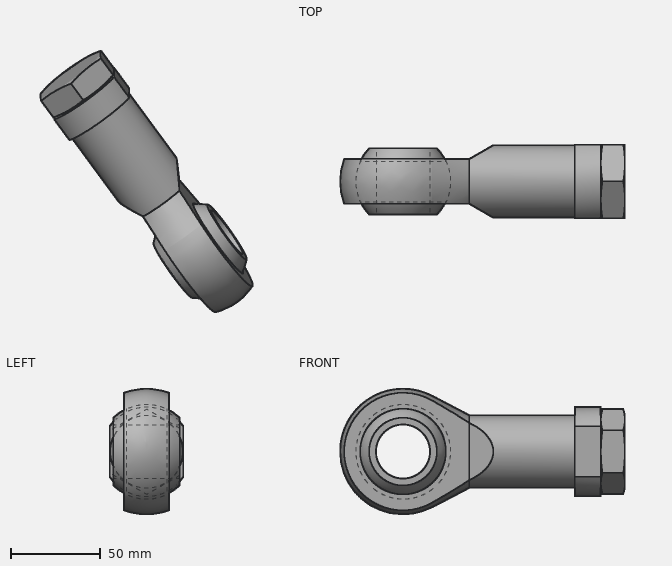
import cadquery as cq
import math

eye_radius = 35.0
eye_thickness = 25.0
overall_length = 158.5
shank_diameter = 40.4
neck_end = 37.0
flat_slope_angle = 30.0

collar_start = 95.5
collar_radius = 24.9
across_flats = 41.0
hex_start = 110.0
hex_chamfer_length = 1.0

ball_diameter = 52.8
ball_width = 37.0
bore_diameter = 30.0
socket_mouth_diameter = 47.7

shank_radius = shank_diameter / 2
hex_chamfer_radius = shank_radius
ball_radius = ball_diameter / 2
shank_end = overall_length - eye_radius
half_thickness = eye_thickness / 2
hex_corner_radius = across_flats / math.sqrt(3)

tangent_angle = math.atan2(shank_radius, neck_end) + math.acos(
    eye_radius / math.hypot(neck_end, shank_radius)
)
tangent_x = eye_radius * math.cos(tangent_angle)
tangent_z = eye_radius * math.sin(tangent_angle)


def turned_blank():
    """Spherical eye, tangent conical neck and cylindrical shank, turned about X."""
    mid_angle = (math.pi + tangent_angle) / 2
    arc_middle = (eye_radius * math.cos(mid_angle), eye_radius * math.sin(mid_angle))
    return (
        cq.Workplane("XZ")
        .moveTo(-eye_radius, 0)
        .threePointArc(arc_middle, (tangent_x, tangent_z))
        .lineTo(neck_end, shank_radius)
        .lineTo(hex_start, shank_radius)
        .lineTo(hex_start, 0)
        .close()
        .revolve(360, (0, 0), (1, 0))
    )


def side_envelope():
    """Prism that flattens the eye and slopes out to the full shank width."""
    slope_run = (shank_radius - half_thickness) / math.tan(math.radians(flat_slope_angle))
    slope_end = neck_end + slope_run
    return (
        cq.Workplane("XY")
        .moveTo(-eye_radius, -half_thickness)
        .lineTo(neck_end, -half_thickness)
        .lineTo(slope_end, -shank_radius)
        .lineTo(shank_end, -shank_radius)
        .lineTo(shank_end, shank_radius)
        .lineTo(slope_end, shank_radius)
        .lineTo(neck_end, half_thickness)
        .lineTo(-eye_radius, half_thickness)
        .close()
        .extrude(eye_radius, both=True)
    )


def flatted_collar():
    """Round collar with two flats facing -Y and +Y."""
    length = hex_start - collar_start
    start_plane = cq.Workplane("YZ").workplane(offset=collar_start)
    disc = start_plane.circle(collar_radius).extrude(length)
    flats = start_plane.rect(across_flats, 2 * collar_radius).extrude(length)
    return disc.intersect(flats)


def hexagon_end():
    """Hexagon with flats facing -Y and +Y, corners chamfered at both ends."""
    prism = (
        cq.Workplane("YZ")
        .workplane(offset=hex_start)
        .polygon(6, 2 * hex_corner_radius)
        .extrude(shank_end - hex_start)
        .rotate((0, 0, 0), (1, 0, 0), 30)
    )
    chamfer_envelope = (
        cq.Workplane("XZ")
        .moveTo(hex_start, 0)
        .lineTo(hex_start, hex_chamfer_radius)
        .lineTo(hex_start + hex_chamfer_length, hex_corner_radius)
        .lineTo(shank_end - hex_chamfer_length, hex_corner_radius)
        .lineTo(shank_end, hex_chamfer_radius)
        .lineTo(shank_end, 0)
        .close()
        .revolve(360, (0, 0), (1, 0))
    )
    return prism.intersect(chamfer_envelope)


def ball_slice(width):
    """Ball cut off square at both sides, turned about Y, with the given width along Y."""
    half_width = width / 2
    face_radius = math.sqrt(ball_radius**2 - half_width**2)
    return (
        cq.Workplane("XY")
        .moveTo(0, -half_width)
        .lineTo(face_radius, -half_width)
        .threePointArc((ball_radius, 0), (face_radius, half_width))
        .lineTo(0, half_width)
        .close()
        .revolve(360, (0, 0), (0, 1))
    )


def ball_socket():
    """Spherical seat with a cylindrical mouth that clears the ball at both eye faces."""
    mouth = cq.Workplane("XZ").circle(socket_mouth_diameter / 2).extrude(half_thickness, both=True)
    return ball_slice(eye_thickness).union(mouth)


def make_housing():
    """Rod end body: eye, shank, collar and hexagon in one piece."""
    body = turned_blank().intersect(side_envelope())
    return body.union(flatted_collar()).union(hexagon_end()).cut(ball_socket())


def make_ball():
    """Truncated ball with a bore along Y."""
    bore = cq.Workplane("XZ").circle(bore_diameter / 2).extrude(ball_width, both=True)
    return ball_slice(ball_width).cut(bore)


housing = make_housing()
ball = make_ball()
result = cq.Compound.makeCompound([*housing.solids().vals(), *ball.solids().vals()])